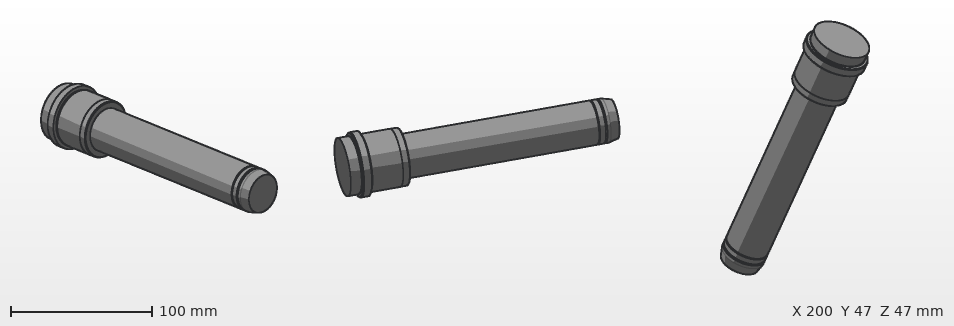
import cadquery as cq

length = 200.0
start_x = -length / 2

shaft_radius = 32.0 / 2
collar_radius = 42.0 / 2
lead_step = 0.1
lead_radius = collar_radius - lead_step
flange_radius = 47.0 / 2
tip_radius = 14.2

flange_start = 8.5
flange_end = 14.8
lead_start = 38.5
collar_end = 44.0
narrow_groove_start = 184.5
wide_groove_start = 189.5
tip_start = 193.0

flange_chamfer = 0.5
collar_chamfer = 0.5

relief_depth = 0.5
front_relief_width = 0.5
rear_relief_width = 1.2
narrow_groove_width = 0.8
narrow_groove_depth = 0.5
wide_groove_width = 1.2
wide_groove_depth = 0.5


def cylinder(x_from, x_to, radius):
    """Solid cylinder along X between two distances from the headed end."""
    plane = cq.Workplane("YZ", origin=(start_x + x_from, 0, 0))
    return plane.circle(radius).extrude(x_to - x_from)


def square_groove(x_from, width, outer_radius, depth):
    """Ring that cuts a flat-bottomed groove."""
    ring = cylinder(x_from, x_from + width, outer_radius)
    return ring.cut(cylinder(x_from, x_from + width, outer_radius - depth))


def round_groove(x_from, width, depth):
    """Ring that cuts an arc-bottomed groove into the shaft."""
    left = start_x + x_from
    return (
        cq.Workplane("XY")
        .moveTo(left, shaft_radius)
        .threePointArc((left + width / 2, shaft_radius - depth), (left + width, shaft_radius))
        .lineTo(left + width, shaft_radius + depth)
        .lineTo(left, shaft_radius + depth)
        .close()
        .revolve(360, (0, 0, 0), (1, 0, 0))
    )


shaft = cylinder(0, length, shaft_radius)
shaft = shaft.faces(">X").chamfer(length - tip_start, shaft_radius - tip_radius)
shaft = shaft.cut(round_groove(narrow_groove_start, narrow_groove_width, narrow_groove_depth))
shaft = shaft.cut(round_groove(wide_groove_start, wide_groove_width, wide_groove_depth))

lead = cylinder(0, collar_end, lead_radius).faces(">X").chamfer(collar_chamfer)
collar = cylinder(0, lead_start, collar_radius).union(lead)
collar = collar.cut(
    square_groove(flange_start - front_relief_width, front_relief_width, collar_radius, relief_depth)
)
collar = collar.cut(square_groove(flange_end, rear_relief_width, collar_radius, relief_depth))

flange = cylinder(flange_start, flange_end, flange_radius).faces("<X").chamfer(flange_chamfer)

result = shaft.union(collar).union(flange)